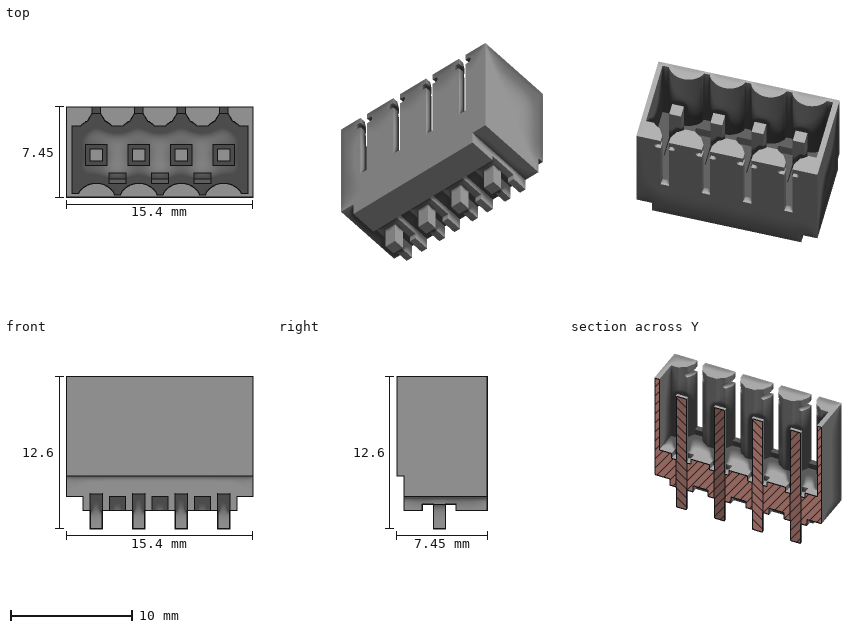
import cadquery as cq


PIN_COUNT = 4
PITCH = 3.5

LENGTH = 15.4
WIDTH = 7.45
HEIGHT = 11.05
ENVELOPE_SHIFT_X = -0.025
LEFT_X = ENVELOPE_SHIFT_X - LENGTH / 2
RIGHT_X = ENVELOPE_SHIFT_X + LENGTH / 2
REAR_Y = WIDTH / 2
FRONT_Y = -WIDTH / 2

FRONT_STEP_DEPTH = 0.57
FRONT_STEP_HEIGHT = 2.85
FOOT_HEIGHT = 1.15
FOOT_LENGTH = 12.7
GROOVE_HEIGHT = 0.52
GROOVE_REAR_Y = REAR_Y - 2.6
GROOVE_FRONT_Y = REAR_Y - 5.35
PIN_NOTCH_HEIGHT = 1.38
GAP_NOTCH_WIDTH = 1.3

PIN_SIZE = 1.0
PIN_Y = REAR_Y - 3.95
PIN_BOTTOM_Z = -1.5
PIN_TOP_Z = HEIGHT - 1.2

FLOOR_THICKNESS = 1.0
FLOOR_Z = FRONT_STEP_HEIGHT + FLOOR_THICKNESS
CAVITY_LENGTH = 14.5
FRONT_WALL = 0.21
FRONT_CORNER_WALL = 0.32

RIB_CREST_Y = FRONT_Y + 1.16
RIB_SHOULDER_Y = FRONT_Y + 0.45
RIB_SHOULDER_HALF = 1.4
RIB_FOOT_HALF = 1.5

BAY_BACK_Y = REAR_Y - 0.53
BAY_KINK_Y = REAR_Y - 1.17
BAY_MOUTH_Y = REAR_Y - 1.59
BAY_BACK_HALF = 0.35
BAY_KINK_HALF = 0.72
BAY_MOUTH_HALF = 1.32
BAY_ARC_RADIUS = 1.8

SLOT_SILL = 0.5
CROSS_SLOT_LENGTH = 1.78
CROSS_SLOT_TOP = 0.57
CROSS_SLOT_HEIGHT = 0.54

SEAT_SIZE = 1.75
SEAT_DEPTH = 0.5
KEY_POCKET_LENGTH = 1.39
KEY_POCKET_REAR_Y = REAR_Y - 5.44
KEY_POCKET_FRONT_Y = REAR_Y - 6.3
KEY_POCKET_DEPTH = 0.38

pin_xs = [(i - (PIN_COUNT - 1) / 2) * PITCH for i in range(PIN_COUNT)]
gap_xs = [(i - (PIN_COUNT - 2) / 2) * PITCH for i in range(PIN_COUNT - 1)]


def box(x0, x1, y0, y1, z0, z1):
    """Axis-aligned box between opposite corners."""
    return cq.Workplane("XY").box(x1 - x0, y1 - y0, z1 - z0, centered=False).translate((x0, y0, z0))


def centred_box(x, length, y0, y1, z0, z1):
    """Box centred on x along the row of pins."""
    return box(x - length / 2, x + length / 2, y0, y1, z0, z1)


def make_shell():
    """Solid block with the recessed front base and the inset foot."""
    block = box(LEFT_X, RIGHT_X, FRONT_Y, REAR_Y, FOOT_HEIGHT, HEIGHT)
    step = box(LEFT_X, RIGHT_X, FRONT_Y, FRONT_Y + FRONT_STEP_DEPTH, 0, FRONT_STEP_HEIGHT)
    foot = centred_box(0, FOOT_LENGTH, FRONT_Y + FRONT_STEP_DEPTH, REAR_Y, 0, FOOT_HEIGHT)
    return block.cut(step).union(foot)


def make_rib(x):
    """Front rib, running from inside the front wall to its crest."""
    return (
        cq.Workplane("XY", origin=(x, 0, FLOOR_Z))
        .moveTo(-RIB_FOOT_HALF, FRONT_Y + FRONT_WALL)
        .lineTo(-RIB_SHOULDER_HALF, RIB_SHOULDER_Y)
        .threePointArc((0, RIB_CREST_Y), (RIB_SHOULDER_HALF, RIB_SHOULDER_Y))
        .lineTo(RIB_FOOT_HALF, FRONT_Y + FRONT_WALL)
        .close()
        .extrude(HEIGHT - FLOOR_Z)
    )


def make_bay(x):
    """Rear bay, reaching from the mouth line towards the rear wall."""
    return (
        cq.Workplane("XY", origin=(x, 0, FLOOR_Z))
        .moveTo(-BAY_MOUTH_HALF, BAY_MOUTH_Y)
        .radiusArc((-BAY_KINK_HALF, BAY_KINK_Y), BAY_ARC_RADIUS)
        .lineTo(-BAY_BACK_HALF, BAY_BACK_Y)
        .lineTo(BAY_BACK_HALF, BAY_BACK_Y)
        .lineTo(BAY_KINK_HALF, BAY_KINK_Y)
        .radiusArc((BAY_MOUTH_HALF, BAY_MOUTH_Y), BAY_ARC_RADIUS)
        .close()
        .extrude(HEIGHT - FLOOR_Z)
    )


def make_cavity():
    """Open-topped cavity with a bay behind and a rib in front of each pin."""
    front_y = FRONT_Y + FRONT_WALL
    corner_y = FRONT_Y + FRONT_CORNER_WALL
    cavity = centred_box(0, CAVITY_LENGTH, corner_y, BAY_MOUTH_Y, FLOOR_Z, HEIGHT)
    cavity = cavity.union(box(pin_xs[0], pin_xs[-1], front_y, corner_y, FLOOR_Z, HEIGHT))
    for x in pin_xs:
        cavity = cavity.union(make_bay(x)).cut(make_rib(x))
    return cavity


def make_rear_opening(x):
    """Tall slot and round-ended cross slot through the rear wall."""
    cross_slot_z = HEIGHT - CROSS_SLOT_TOP - CROSS_SLOT_HEIGHT / 2
    slot = centred_box(x, 2 * BAY_BACK_HALF, BAY_BACK_Y, REAR_Y, FLOOR_Z + SLOT_SILL, HEIGHT)
    cross_slot = (
        cq.Workplane("XZ", origin=(x, REAR_Y, cross_slot_z))
        .slot2D(CROSS_SLOT_LENGTH, CROSS_SLOT_HEIGHT)
        .extrude(REAR_Y - BAY_MOUTH_Y)
    )
    return slot.union(cross_slot)


def make_key_pocket(x):
    """Floor pocket with a 45-degree ramp on its front side."""
    return (
        cq.Workplane("YZ", origin=(x - KEY_POCKET_LENGTH / 2, 0, 0))
        .moveTo(KEY_POCKET_REAR_Y, FLOOR_Z)
        .lineTo(KEY_POCKET_REAR_Y, FLOOR_Z - KEY_POCKET_DEPTH)
        .lineTo(KEY_POCKET_FRONT_Y + KEY_POCKET_DEPTH, FLOOR_Z - KEY_POCKET_DEPTH)
        .lineTo(KEY_POCKET_FRONT_Y, FLOOR_Z)
        .close()
        .extrude(KEY_POCKET_LENGTH)
    )


def make_pin(x):
    """Straight square pin."""
    return centred_box(x, PIN_SIZE, PIN_Y - PIN_SIZE / 2, PIN_Y + PIN_SIZE / 2, PIN_BOTTOM_Z, PIN_TOP_Z)


def make_housing():
    """Housing with its cavity, rear openings, floor pockets, underside notches and pin holes."""
    body = make_shell().cut(make_cavity())
    body = body.cut(box(LEFT_X, RIGHT_X, GROOVE_FRONT_Y, GROOVE_REAR_Y, 0, GROOVE_HEIGHT))
    for x in gap_xs:
        body = body.cut(centred_box(x, GAP_NOTCH_WIDTH, FRONT_Y, GROOVE_REAR_Y, 0, FOOT_HEIGHT))
        body = body.cut(make_key_pocket(x))
    for x in pin_xs:
        seat_y0 = PIN_Y - SEAT_SIZE / 2
        seat_y1 = PIN_Y + SEAT_SIZE / 2
        body = body.cut(make_rear_opening(x))
        body = body.cut(centred_box(x, SEAT_SIZE, seat_y0, seat_y1, FLOOR_Z - SEAT_DEPTH, FLOOR_Z))
        body = body.cut(centred_box(x, PIN_SIZE, FRONT_Y, PIN_Y, 0, PIN_NOTCH_HEIGHT))
        body = body.cut(make_pin(x))
    return body


housing = make_housing().solids()
pins = [make_pin(x) for x in pin_xs]

result = cq.Compound.makeCompound([housing.val(), *[pin.val() for pin in pins]])